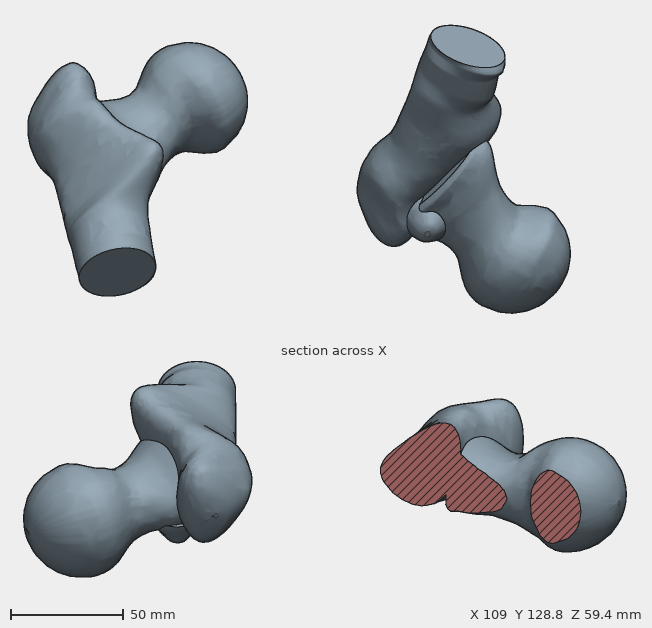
import cadquery as cq
import math


POINTS_PER_SECTION = 24

HEAD_X, HEAD_Y, HEAD_Z = 34.9, 103.3, 25.6
HEAD_RADIUS_X = 26.4
HEAD_RADIUS_Y = 25.5
HEAD_RADIUS_Z = 25.5
DOME_ANGLES = (0, 12, 24, 36, 48, 60, 72, 82, 88)

NECK_SECTIONS = (
    (51.5, 12.9, 69.5, 16.7, 49.0),
    (56.7, 12.9, 68.9, 14.2, 47.0),
    (61.8, 14.4, 67.4, 14.2, 43.8),
    (67.0, 16.1, 63.4, 13.7, 41.6),
    (72.1, 18.5, 59.6, 13.4, 40.7),
    (77.3, 20.1, 56.7, 11.7, 40.7),
    (82.5, 19.6, 54.6, 9.8, 42.1),
    (87.6, 16.9, 53.2, 6.2, 46.0),
    (92.8, 12.8, 53.3, 3.1, 48.6),
    (97.9, 9.8, 57.6, 1.2, 50.2),
)

TROCHANTER_SECTIONS = (
    ((0.0, 52.2), (0.0, 54.1), 34.1, 36.7, 0.1, 0.2),
    ((0.3, 49.6), (0.3, 56.7), 30.5, 40.3, 0.1, 0.2),
    ((1.0, 46.8), (1.0, 59.5), 25.8, 44.2, 0.1, 0.2),
    ((3.1, 42.8), (3.1, 62.5), 21.3, 49.3, 0.1, 0.3),
    ((6.8, 36.1), (6.8, 64.8), 17.0, 54.5, 0.1, 0.4),
    ((12.2, 30.7), (12.9, 65.5), 15.5, 56.7, 0.1, 0.45),
    ((18.0, 27.0), (18.0, 64.2), 15.1, 56.5, 0.1, 0.35),
    ((23.8, 25.1), (23.2, 60.9), 14.5, 56.5, 0.15, 0.1),
    ((29.6, 24.3), (29.0, 58.9), 14.8, 57.2, 0.2, 0.05),
    ((36.1, 24.1), (35.4, 58.0), 15.5, 58.1, 0.25, 0.2),
    ((42.5, 23.0), (43.8, 57.7), 15.7, 57.2, 0.3, 0.3),
    ((49.0, 20.6), (52.8, 58.9), 16.0, 56.5, 0.4, 0.3),
    ((55.4, 17.8), (61.2, 61.2), 16.1, 57.3, 0.5, 0.3),
    ((61.2, 15.2), (68.3, 62.3), 15.8, 58.6, 0.6, 0.3),
    ((66.3, 12.9), (74.7, 60.3), 15.5, 59.0, 0.7, 0.2),
    ((70.2, 11.1), (79.5, 53.1), 15.1, 55.4, 0.6, 0.1),
    ((74.1, 9.3), (84.0, 45.3), 14.7, 49.6, 0.3, 0.0),
)

SHAFT_START = ((78.6, 7.2), (89.9, 41.9), 14.2, 46.8)
SHAFT_END = ((94.5, 0.0), (109.0, 31.5), 12.6, 43.9)
SHAFT_STEPS = 3

SPUR_X, SPUR_Y = 25.8, 60.5
SPUR_SECTIONS = (
    (23.2, 11.6, 11.6),
    (18.0, 9.7, 10.3),
    (14.2, 7.7, 7.7),
    (11.6, 6.5, 5.9),
    (9.4, 4.5, 3.9),
    (8.4, 1.5, 1.3),
)


def section_angles():
    return [2 * math.pi * i / POINTS_PER_SECTION for i in range(POINTS_PER_SECTION)]


def closed_curve(points):
    edge = cq.Edge.makeSpline([cq.Vector(*p) for p in points], periodic=True)
    return cq.Wire.assembleEdges([edge])


def between(start, end, share):
    return start + (end - start) * share


def upright_section(front, back, z_min, z_max, lift=0.0, taper=0.0):
    """Ellipse in the upright plane through two plan points, made egg-shaped by lift and taper."""
    angles = section_angles()
    heights = [
        math.sin(a) * (1 + taper * math.cos(a)) + lift * (1 + math.cos(a)) ** 2 / 2
        for a in angles
    ]
    lowest, highest = min(heights), max(heights)
    points = []
    for angle, height in zip(angles, heights):
        across = (1 + math.cos(angle)) / 2
        x = between(front[0], back[0], across)
        y = between(front[1], back[1], across)
        z = between(z_min, z_max, (height - lowest) / (highest - lowest))
        points.append((x, y, z))
    return closed_curve(points)


def neck_section(y, x_min, x_max, z_min, z_max):
    return upright_section((x_min, y), (x_max, y), z_min, z_max)


def dome_section(degrees):
    angle = math.radians(degrees)
    y = HEAD_Y + HEAD_RADIUS_Y * math.sin(angle)
    half_x = HEAD_RADIUS_X * math.cos(angle)
    half_z = HEAD_RADIUS_Z * math.cos(angle)
    return neck_section(y, HEAD_X - half_x, HEAD_X + half_x, HEAD_Z - half_z, HEAD_Z + half_z)


def shaft_section(share):
    front_a, back_a, z_min_a, z_max_a = SHAFT_START
    front_b, back_b, z_min_b, z_max_b = SHAFT_END
    front = [between(a, b, share) for a, b in zip(front_a, front_b)]
    back = [between(a, b, share) for a, b in zip(back_a, back_b)]
    return upright_section(front, back, between(z_min_a, z_min_b, share), between(z_max_a, z_max_b, share))


def spur_section(z, half_x, half_y):
    return closed_curve(
        [(SPUR_X + half_x * math.cos(a), SPUR_Y + half_y * math.sin(a), z) for a in section_angles()]
    )


def loft(sections):
    return cq.Workplane(obj=cq.Solid.makeLoft(sections))


neck_and_head = loft(
    [neck_section(*section) for section in NECK_SECTIONS]
    + [dome_section(degrees) for degrees in DOME_ANGLES]
)
body = loft(
    [upright_section(*section) for section in TROCHANTER_SECTIONS]
    + [shaft_section(step / SHAFT_STEPS) for step in range(SHAFT_STEPS + 1)]
)
spur = loft([spur_section(*section) for section in SPUR_SECTIONS])

result = body.union(neck_and_head).union(spur)